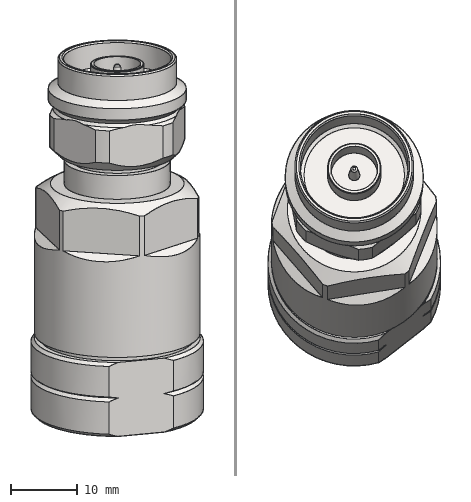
import cadquery as cq
import math

BASE_R = 12.995
BASE_TOP = 11.7
BASE_EDGE = 0.5
BASE_FLATS = 23.9
V_GROOVE_R = BASE_R - BASE_EDGE
V_GROOVE_LOW = 5.6
V_GROOVE_MID = 6.1
V_GROOVE_HIGH = 6.4

BODY_R = 12.495
BODY_BOTTOM = 12.45
BODY_TOP = 36.0
BODY_TOP_R = 10.05
BODY_UNDERCUT_R = 11.6
HEX_FLATS = 22.0
HEX_BOTTOM = 28.35

COLLAR_R = 8.0
COLLAR_TOP = 39.75
NECK_R = 6.9

NUT_R = 10.4
NUT_FLATS = 19.0
NUT_BOTTOM = 40.8
NUT_BOTTOM_EDGE = 1.6
NUT_SHOULDER = 47.5
NUT_TOP_R = 9.65
NUT_TOP = 47.85
WAIST_R = 9.35
WAIST = 48.35
RING_UNDERSIDE_R = 9.95
RING_UNDERSIDE = 48.9
RING_BOTTOM = 49.25
RING_SHOULDER = 51.05
SLEEVE_R = 8.95
SLEEVE_TOP = 55.9
RIM_EDGE = 0.2

SOCKET_R = 8.1
SOCKET_FLOOR = 51.65
SOCKET_FLOOR_R = 7.55

CONTACT_R = 4.0
CONTACT_BORE_R = 3.5
CONTACT_TOP = 54.9
CONTACT_EDGE = 0.1
PIN_R = 0.85
PIN_TIP_R = 0.5
PIN_TOP = 54.8
PIN_EDGE = 0.3

SLOPE_30 = math.tan(math.radians(30))
FLATS_PER_CORNERS = math.cos(math.radians(30))


def turned(profile):
    """Solid of revolution about Z from (radius, height) points, closed along the axis."""
    points = [(0, profile[0][1])] + profile + [(0, profile[-1][1])]
    return cq.Workplane("XZ").polyline(points).close().revolve(360, (0, 0), (0, 1))


def hexagon(plane, across_flats, turn=0):
    """Hexagon outline with flats facing +Y and -Y before it is turned."""
    return plane.transformed(rotate=(0, 0, turn)).polygon(6, across_flats / FLATS_PER_CORNERS)


def base_ring():
    inner_r = BASE_R - BASE_EDGE
    ring = turned([
        (inner_r, 0),
        (BASE_R, BASE_EDGE),
        (BASE_R, V_GROOVE_LOW),
        (V_GROOVE_R, V_GROOVE_MID),
        (BASE_R, V_GROOVE_HIGH),
        (BASE_R, BASE_TOP - BASE_EDGE),
        (inner_r, BASE_TOP),
    ])
    flats = cq.Workplane("XY").box(BASE_FLATS, 2 * BASE_R, BASE_TOP, centered=(True, True, False))
    undercut = turned([(BODY_UNDERCUT_R, 0), (BODY_UNDERCUT_R, BODY_BOTTOM)])
    return ring.intersect(flats).union(undercut)


def body():
    top_slope = SLOPE_30 * (BODY_R - BODY_TOP_R)
    turned_body = turned([
        (BODY_R, BODY_BOTTOM),
        (BODY_R, BODY_TOP - top_slope),
        (BODY_TOP_R, BODY_TOP),
    ])
    flare = BODY_R
    flare_bottom = HEX_BOTTOM - SLOPE_30 * flare
    prism = hexagon(cq.Workplane("XY", origin=(0, 0, HEX_BOTTOM)), HEX_FLATS)
    prism = prism.extrude(BODY_TOP - HEX_BOTTOM)
    skirt = hexagon(cq.Workplane("XY", origin=(0, 0, flare_bottom)), HEX_FLATS + 2 * flare)
    skirt = skirt.workplane(offset=HEX_BOTTOM - flare_bottom)
    skirt = hexagon(skirt, HEX_FLATS).loft(ruled=True)
    lower = cq.Workplane("XY", origin=(0, 0, BODY_BOTTOM)).circle(2 * BODY_R)
    lower = lower.extrude(flare_bottom - BODY_BOTTOM)
    return turned_body.intersect(prism.union(skirt).union(lower))


def neck():
    return turned([
        (COLLAR_R, BODY_TOP),
        (COLLAR_R, COLLAR_TOP),
        (NECK_R, COLLAR_TOP),
        (NECK_R, NUT_BOTTOM),
    ])


def nut_hexagon():
    blank = turned([
        (NUT_R - NUT_BOTTOM_EDGE, NUT_BOTTOM),
        (NUT_R, NUT_BOTTOM + NUT_BOTTOM_EDGE),
        (NUT_R, NUT_SHOULDER),
        (NUT_TOP_R, NUT_TOP),
        (WAIST_R, WAIST),
    ])
    prism = hexagon(cq.Workplane("XY", origin=(0, 0, NUT_BOTTOM)), NUT_FLATS, turn=90)
    return blank.intersect(prism.extrude(WAIST - NUT_BOTTOM))


def nut_sleeve():
    ring_top = RING_SHOULDER + SLOPE_30 * (NUT_R - SLEEVE_R)
    outside = turned([
        (WAIST_R, WAIST),
        (RING_UNDERSIDE_R, RING_UNDERSIDE),
        (NUT_R, RING_BOTTOM),
        (NUT_R, RING_SHOULDER),
        (SLEEVE_R, ring_top),
        (SLEEVE_R, SLEEVE_TOP - RIM_EDGE),
        (SLEEVE_R - RIM_EDGE, SLEEVE_TOP),
    ])
    floor_slope = SLOPE_30 * (SOCKET_R - SOCKET_FLOOR_R)
    socket = turned([
        (SOCKET_FLOOR_R, SOCKET_FLOOR),
        (SOCKET_R, SOCKET_FLOOR + floor_slope),
        (SOCKET_R, SLEEVE_TOP - RIM_EDGE),
        (SOCKET_R + RIM_EDGE, SLEEVE_TOP),
    ])
    return outside.cut(socket)


def contacts():
    tube = turned([
        (CONTACT_R, SOCKET_FLOOR),
        (CONTACT_R, CONTACT_TOP - CONTACT_EDGE),
        (CONTACT_R - CONTACT_EDGE, CONTACT_TOP),
    ])
    bore = turned([(CONTACT_BORE_R, SOCKET_FLOOR), (CONTACT_BORE_R, CONTACT_TOP)])
    pin = turned([
        (PIN_R, SOCKET_FLOOR),
        (PIN_TIP_R, PIN_TOP - PIN_EDGE),
        (PIN_TIP_R - PIN_EDGE, PIN_TOP),
    ])
    return tube.cut(bore).union(pin)


result = (
    base_ring()
    .union(body())
    .union(neck())
    .union(nut_hexagon())
    .union(nut_sleeve())
    .union(contacts())
)